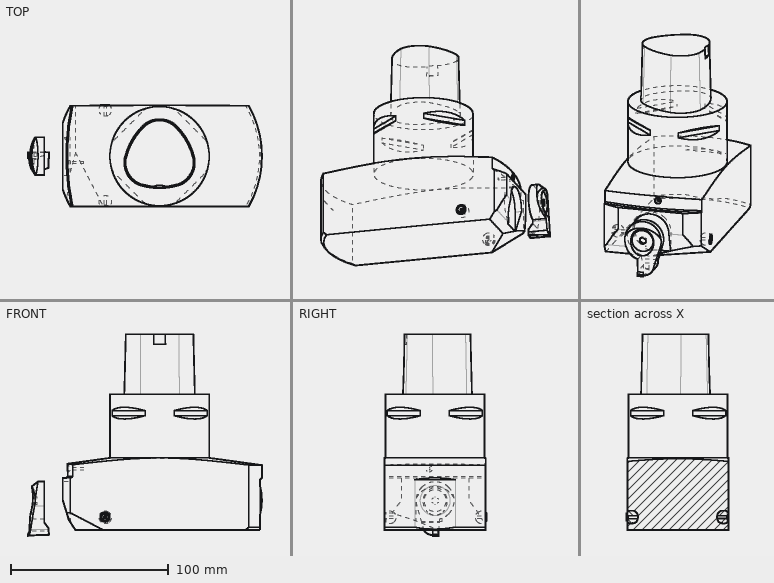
import cadquery as cq
import math


shank_length = 38.0
shank_taper = 1.43
lobe_radius = 23.55
flank_radius = 20.4
joint_radius = 22.3
lobe_half_angle = 26.2
notch_radius = 6.8
notch_floor_y = -18.3
notch_depth = 6.4

collar_radius = 63.0 / 2
collar_bottom_z = -40.4
groove_z = -12.1
groove_floor_distance = 27.8
groove_floor_width = 3.2
groove_half_angle = 30.0

end_radius = 65.0
half_width = 32.0
side_bulge = 0.3
top_rim_z = -45.0
bottom_z = -86.2
rim_chamfer = 1.8

front_x = -61.4
ledge_z = -53.1
step_middle_x = -58.4
step_side_x = -55.0
step_foot = 0.9
relief_start_z = -67.4
relief_break_x, relief_break_z = -57.6, -79.8
relief_end_x = -53.4

corner_side_z = -75.3
corner_end_x = -35.7
corner_front_y = -27.5

back_flat_x = 63.7
back_cap_radius = 19.0 / 2
back_cap_z = relief_start_z

axis_z = relief_start_z
seat_radius = 24.07 / 2
seat_floor_x = -57.1
seat_slot_y = 4.3

outlet_y, outlet_z = -3.9, -47.2
outlet_mouth_radius = 4.0 / 2
outlet_middle_radius = 2.8 / 2
outlet_bore_radius = 1.5 / 2
outlet_mouth_depth = 0.6
outlet_depth = 10.0

ball_radius = 8.0 / 2
ball_flat_radius = 4.7 / 2
ball_mouth_radius = 4.0 / 2
ball_mouth_depth = 1.2
ball_bore_radius = 1.5 / 2
ball_opening_radius = 6.25 / 2
ball_x, ball_z = -34.6, -78.0
ball_flat_offset = math.sqrt(ball_radius ** 2 - ball_flat_radius ** 2)
ball_protrusion = 0.74
ball_faces = [(-1, -half_width), (1, half_width + ball_protrusion)]

disc_radius = 24.0 / 2
blade_back_x = -73.1
foot_back_x = -70.3
foot_start_z, foot_end_z = -81.4, -85.1
stem_left_top = (2.8, -80.0)
stem_left_bottom = (2.3, -88.0)
stem_end_left_arc = (0.0, -89.3)
stem_end_middle = (-3.2, -89.2)
stem_end_right_arc = (-5.6, -88.0)
stem_corner = (-7.3, -85.6)
face_radius = 28.0
face_crest_x = -81.5
face_tilt = 3.6
cone_rim_x = -79.0
cone_tilt = 8.5
cone_slope = 0.94
socket_radius = 13.9 / 2
socket_floor_x = -79.8
socket_flare = 4.0
hex_across_flats = 4.0
hex_depth = 2.0
tip_x, tip_z = -83.48, -90.0
tip_heel_z = -88.8
tip_face_height = 1.2
tip_root = 2.0
tip_overhang = 1.0
tip_heel_step = 0.3
tip_right_y, tip_left_y = -1.4, 2.4

far = 100.0


def polar(radius, degrees):
    angle = math.radians(degrees)
    return radius * math.cos(angle), radius * math.sin(angle)


def cylinder_x(radius, x_start, length, y, z):
    return cq.Workplane("YZ", origin=(x_start, y, z)).circle(radius).extrude(length)


def side_cut(points):
    """Prism with an X-Z outline that runs across the whole width."""
    return cq.Workplane("XZ").polyline(points).close().extrude(far, both=True)


def make_shank():
    outline = cq.Workplane("XY").moveTo(*polar(joint_radius, 90 - lobe_half_angle))
    for lobe in (90, 210, 330):
        lobe_end = polar(joint_radius, lobe + lobe_half_angle)
        next_lobe = polar(joint_radius, lobe + 120 - lobe_half_angle)
        outline = outline.threePointArc(polar(lobe_radius, lobe), lobe_end)
        outline = outline.threePointArc(polar(flank_radius, lobe + 60), next_lobe)
    shank = outline.close().extrude(shank_length, taper=shank_taper)
    notch = (
        cq.Workplane("XY", origin=(0, notch_floor_y - notch_radius, shank_length - notch_depth))
        .circle(notch_radius)
        .extrude(notch_depth)
    )
    return shank.cut(notch)


def make_collar():
    collar = cq.Workplane("XY").circle(collar_radius).extrude(collar_bottom_z)
    half_floor = groove_floor_width / 2
    groove_slope = math.tan(math.radians(groove_half_angle))
    half_mouth = half_floor + (far - groove_floor_distance) * groove_slope
    groove = side_cut([
        (groove_floor_distance, groove_z - half_floor),
        (far, groove_z - half_mouth),
        (far, groove_z + half_mouth),
        (groove_floor_distance, groove_z + half_floor),
    ])
    for angle in (45, 135, 225, 315):
        collar = collar.cut(groove.rotate((0, 0, 0), (0, 0, 1), angle))
    return collar


def body_plan():
    """Block between a flat -Y side and a slightly convex +Y side."""
    end_x = math.sqrt(end_radius ** 2 - half_width ** 2)
    return (
        cq.Workplane("XY", origin=(0, 0, bottom_z))
        .moveTo(-far, -half_width)
        .lineTo(far, -half_width)
        .lineTo(far, half_width)
        .lineTo(end_x, half_width)
        .threePointArc((0, half_width + side_bulge), (-end_x, half_width))
        .lineTo(-far, half_width)
        .close()
        .extrude(collar_bottom_z - bottom_z)
    )


def body_envelope():
    """Turned shape that gives the block its round ends, conical top and chamfered lower rim."""
    return (
        cq.Workplane("XZ")
        .polyline([
            (0, bottom_z),
            (end_radius - rim_chamfer, bottom_z),
            (end_radius, bottom_z + rim_chamfer),
            (end_radius, top_rim_z),
            (collar_radius, collar_bottom_z),
            (0, collar_bottom_z),
        ])
        .close()
        .revolve(360, (0, 0), (0, 1))
    )


def ledge_cut():
    """Space above the ledge, in front of a curved wall with a sloped strip at its foot."""
    def outline(plane, wall_offset):
        return (
            plane.moveTo(-far, -far)
            .lineTo(step_side_x - wall_offset, -far)
            .lineTo(step_side_x - wall_offset, -half_width)
            .threePointArc((step_middle_x - wall_offset, 0), (step_side_x - wall_offset, half_width))
            .lineTo(step_side_x - wall_offset, far)
            .lineTo(-far, far)
            .close()
        )

    foot = outline(cq.Workplane("XY", origin=(0, 0, ledge_z)), step_foot)
    foot = outline(foot.workplane(offset=step_foot), 0).loft(ruled=True)
    wall = outline(cq.Workplane("XY", origin=(0, 0, ledge_z + step_foot)), 0).extrude(far)
    return foot, wall


def corner_cut():
    """Everything below the oblique plane across the lower -Y corner."""
    edge_side = cq.Vector(-math.sqrt(end_radius ** 2 - half_width ** 2), -half_width, corner_side_z)
    edge_front = cq.Vector(
        -math.sqrt(end_radius ** 2 - corner_front_y ** 2), corner_front_y, corner_side_z
    )
    edge_bottom = cq.Vector(corner_end_x, -half_width, bottom_z)
    across = edge_side - edge_front
    normal = (edge_bottom - edge_side).cross(across)
    if normal.z > 0:
        normal = normal * -1
    return cq.Workplane(cq.Plane(edge_side, across, normal)).rect(2 * far, 2 * far).extrude(far)


def back_cap():
    """Shallow spherical dome on the flat of the +X end."""
    rise = end_radius - back_flat_x
    sphere_radius = (back_cap_radius ** 2 + rise ** 2) / (2 * rise)
    half_rise = rise - sphere_radius + math.sqrt(sphere_radius ** 2 - (back_cap_radius / 2) ** 2)
    return (
        cq.Workplane("XY", origin=(back_flat_x, 0, back_cap_z))
        .lineTo(rise, 0)
        .threePointArc((half_rise, back_cap_radius / 2), (0, back_cap_radius))
        .close()
        .revolve(360, (0, 0), (1, 0))
    )


def seat_cut():
    length = -seat_floor_x
    seat = cylinder_x(seat_radius, seat_floor_x - length, length, 0, axis_z)
    slot = (
        cq.Workplane("XY", origin=(seat_floor_x, 0, axis_z))
        .moveTo(0, -seat_radius)
        .lineTo(0, seat_slot_y)
        .lineTo(-length, seat_slot_y)
        .lineTo(-length, -seat_radius)
        .close()
        .extrude(-far)
    )
    return seat.union(slot)


def outlet_cut():
    return (
        cq.Workplane("XY", origin=(step_middle_x, outlet_y, outlet_z))
        .polyline([
            (-outlet_mouth_depth, 0),
            (-outlet_mouth_depth, outlet_mouth_radius),
            (outlet_mouth_depth, outlet_mouth_radius),
            (2 * outlet_mouth_depth, outlet_middle_radius),
            (3 * outlet_mouth_depth, outlet_bore_radius),
            (outlet_depth, outlet_bore_radius),
            (outlet_depth, 0),
        ])
        .close()
        .revolve(360, (0, 0), (1, 0))
    )


def facing_out(shape, side, flat_y):
    """Moves a ball centred on the origin, with its flat towards +Y, to its place in the body's side."""
    if side < 0:
        shape = shape.rotate((0, 0, 0), (0, 0, 1), 180)
    return shape.translate((ball_x, flat_y - side * ball_flat_offset, ball_z))


def socket_cut(side, flat_y):
    """Spherical pocket for a ball nozzle with a round opening to the body's side."""
    opening_start = math.sqrt(ball_radius ** 2 - ball_opening_radius ** 2)
    socket = (
        cq.Workplane("XY")
        .moveTo(0, 2 * ball_radius)
        .lineTo(ball_opening_radius, 2 * ball_radius)
        .lineTo(ball_opening_radius, opening_start)
        .threePointArc((ball_radius, 0), (0, -ball_radius))
        .close()
        .revolve(360, (0, 0), (0, 1))
    )
    return facing_out(socket, side, flat_y)


def front_relief_cut():
    """Space in front of the flat tool-side face and the two sloped faces below it."""
    return side_cut([
        (-far, ledge_z),
        (front_x, ledge_z),
        (front_x, relief_start_z),
        (relief_break_x, relief_break_z),
        (relief_end_x, bottom_z),
        (-far, bottom_z),
    ])


def back_flat_cut():
    """Space behind the flat of the +X end, with a 45 degree slope at its top."""
    slope = end_radius - back_flat_x
    return side_cut([
        (end_radius, ledge_z),
        (back_flat_x, ledge_z - slope),
        (back_flat_x, bottom_z),
        (far, bottom_z),
        (far, ledge_z),
    ])


def make_holder():
    body = body_plan()
    for space in ledge_cut():
        body = body.cut(space)
    body = body.intersect(body_envelope())
    body = body.cut(front_relief_cut())
    body = body.cut(corner_cut())
    body = body.cut(back_flat_cut())
    body = body.union(back_cap())
    body = body.cut(seat_cut())
    body = body.cut(outlet_cut())
    for side, flat_y in ball_faces:
        body = body.cut(socket_cut(side, flat_y))
    return body.union(make_collar()).union(make_shank())


def make_ball_nozzle(side, flat_y):
    """Ball with a flat, a conical mouth and a through bore, facing out along Y."""
    mouth_y = ball_flat_offset - ball_mouth_depth
    bore_end_y = -math.sqrt(ball_radius ** 2 - ball_bore_radius ** 2)
    nozzle = (
        cq.Workplane("XY")
        .moveTo(ball_bore_radius, mouth_y)
        .lineTo(ball_mouth_radius, ball_flat_offset)
        .lineTo(ball_flat_radius, ball_flat_offset)
        .threePointArc((ball_radius, 0), (ball_bore_radius, bore_end_y))
        .close()
        .revolve(360, (0, 0), (0, 1))
    )
    return facing_out(nozzle, side, flat_y)


def blade_blank():
    """Disc with a stem running tangentially off its -Y side, as one prism along X."""
    length = foot_back_x - tip_x
    corner_y, corner_z = stem_corner
    corner_angle = math.atan2(corner_z - axis_z, corner_y)
    tangent_angle = corner_angle - math.acos(disc_radius / math.hypot(corner_y, corner_z - axis_z))
    tangent_y = disc_radius * math.cos(tangent_angle)
    tangent_z = axis_z + disc_radius * math.sin(tangent_angle)
    disc = cylinder_x(disc_radius, tip_x, length, 0, axis_z)
    stem = (
        cq.Workplane("YZ", origin=(tip_x, 0, 0))
        .moveTo(stem_left_top[0], axis_z)
        .lineTo(*stem_left_top)
        .lineTo(*stem_left_bottom)
        .threePointArc(stem_end_left_arc, stem_end_middle)
        .threePointArc(stem_end_right_arc, stem_corner)
        .lineTo(tangent_y, tangent_z)
        .lineTo(tangent_y, axis_z)
        .close()
        .extrude(length)
    )
    return disc.union(stem)


def blade_back_cut():
    """Space behind the disc, above the foot that reaches back further than the disc."""
    return side_cut([
        (blade_back_x, 0),
        (blade_back_x, foot_start_z),
        (foot_back_x, foot_end_z),
        (foot_back_x, 0),
    ])


def blade_front():
    """Large cylinder for the curved front, leaning out towards the tip."""
    return (
        cq.Workplane("XY", origin=(face_crest_x + face_radius, 0, axis_z))
        .circle(face_radius)
        .extrude(far, both=True)
        .rotate((face_crest_x, 0, axis_z), (face_crest_x, 1, axis_z), face_tilt)
    )


def blade_rim_cut():
    """Space outside the tilted cone that slopes the disc's upper rim; the stem is left alone."""
    reach = 2 * disc_radius
    cone = (
        cq.Workplane("XY", origin=(cone_rim_x, 0, axis_z))
        .polyline([(reach, 0), (-disc_radius * cone_slope, 0), (reach, reach / cone_slope + disc_radius)])
        .close()
        .revolve(360, (0, 0), (1, 0))
        .rotate((cone_rim_x, 0, axis_z), (cone_rim_x, 1, axis_z), cone_tilt)
    )
    upper = (
        cq.Workplane("XY", origin=(face_crest_x, 0, axis_z))
        .box(far, far, far, centered=(True, True, False))
    )
    return upper.cut(cone)


def blade_socket_cut():
    """Flared round socket with a hexagon in its floor."""
    flare = (
        cq.Workplane("YZ", origin=(socket_floor_x, 0, axis_z))
        .circle(socket_radius)
        .workplane(offset=-socket_flare)
        .circle(socket_radius + socket_flare)
        .loft()
    )
    hexagon = (
        cq.Workplane("YZ", origin=(socket_floor_x, 0, axis_z))
        .polygon(6, hex_across_flats / math.cos(math.pi / 6))
        .extrude(hex_depth)
        .rotate((0, 0, axis_z), (1, 0, axis_z), 30)
    )
    return flare.union(hexagon)


def cutting_tip():
    return (
        cq.Workplane("XZ", origin=(0, tip_left_y, 0))
        .polyline([
            (tip_x, tip_z + tip_face_height),
            (tip_x, tip_z),
            (foot_back_x + tip_heel_step, tip_heel_z),
            (foot_back_x, tip_heel_z + tip_root),
            (tip_x + tip_overhang, tip_heel_z + tip_root),
        ])
        .close()
        .extrude(tip_left_y - tip_right_y)
    )


def make_blade():
    blade = blade_blank().cut(blade_back_cut())
    blade = blade.intersect(blade_front())
    blade = blade.cut(blade_rim_cut())
    blade = blade.cut(blade_socket_cut())
    return blade.union(cutting_tip())


holder = make_holder()
blade = make_blade()
nozzles = [make_ball_nozzle(side, flat_y) for side, flat_y in ball_faces]

result = cq.Compound.makeCompound(
    [holder.val(), blade.val(), *[nozzle.val() for nozzle in nozzles]]
)